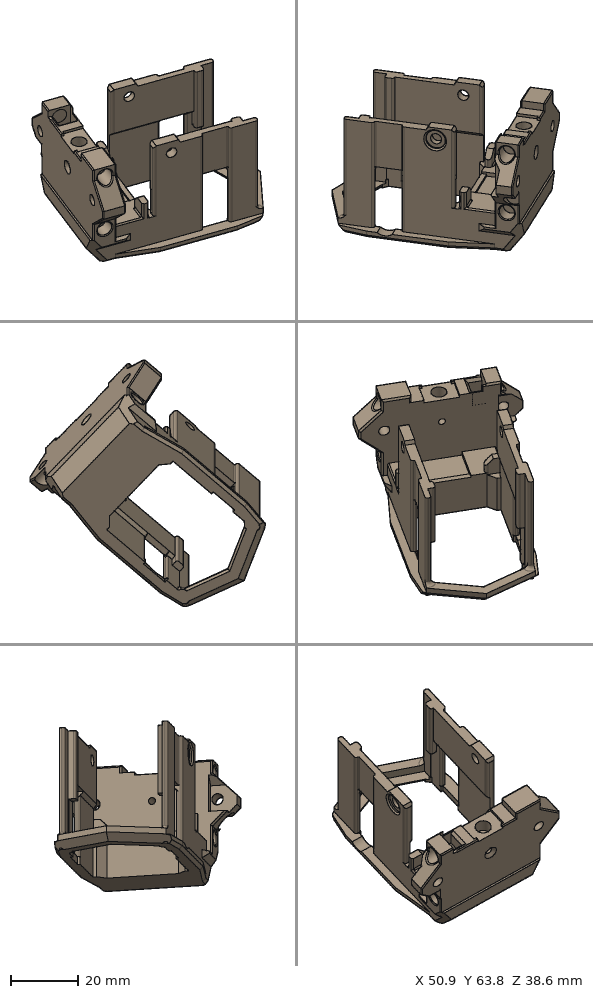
import cadquery as cq
length = 63.8
width = 50.85
height = 38.6
wall_x = 16.65
shoulder_x = 18.45

block_front = 0.65
block_back = 8.3
block_mid = (block_front + block_back) / 2
block_top = 37.5
block_bottom = 7.85
ear_x = width / 2
ear_top = 26.85
ear_bottom = 24.0
ear_reach = ear_x - shoulder_x
ear_root_top = 33.5
ear_root_bottom = 17.15
block_front_chamfer = 0.4
block_back_chamfer = 0.6
ledge_x = 9.3
ledge_z = 35.15
switch_pocket_x = (-13.65, -8.5)
switch_pocket_y = (1.5, 7.9)
switch_pocket_depth = 5.1
switch_pocket_bevel = 0.9
switch_wall_x = -12.05
saddle_x = 5.4
saddle_lip_x = 4.5
saddle_lip = 1.0
saddle_z = 34.25

screw_z = 25.9
screw_d = 2.1
screw_head_d = 4.2
ear_hole_x = (-19.4, 17.7)
ear_hole_d = 3.4
magnet_d = 4.7
magnet_rim = 0.3
magnet_depth = 4.45
side_magnet_z = (14.35, 34.15)
scoop_y = 2.2
scoop_z = 19.9

ear_notch_y = 5.7
ear_notch_x = 17.35
ear_notch_roof = 30.1
ear_notch_z = 21.6

nose_top = 11.0
nose_low = 6.05
nose_slope_y = 4.4
nose_half_width = 14.85
nose_side_normal = (1.0, -0.76, -0.55)
shelf_back = 19.7
shelf_z = 13.1
shelf_chamfer = 0.45
shoulder_back = 13.6
shoulder_top = 8.55
shoulder_back_run = 2.1
channel_x = (-6.1, 7.3)
channel_depth = 0.65
channel_low_depth = 1.3
channel_step_y = 18.05
web_x = 11.0
web_z = 12.45

tab_thick = 2.2
tab_end_radius = 0.95
tab_wall_chamfer = 0.6
tab_flat_x = 12.95
tab_end_x = 10.4
tab_top = 18.2
tab_foot = 0.45

arm_front = 21.2
arm_top = 37.5
arm_in_x = 13.5
lower_arm_in_x = 14.7
lower_arm_top = 22.35
arm_step_y = 51.25
column_in_x = 14.85
column_fillet = 0.75
arm_back = 55.5
arm_front_chamfer = 0.9
arm_front_round = 0.9
bump_in_x = 12.5
bump_y = (48.25, 51.25)
bump_bottom = 16.6
bump_fillet = 0.75
lug_back = 30.0
lug_slope = 1.5
recess_y = (37.5, 46.1)
recess_in_x = 15.5
recess_fillet = 0.75
recess_corner = 0.3
window_fillet = 0.65
window_foot_x = 15.45
arm_hole_y = 27.1
arm_hole_z = 34.45
arm_hole_d = 3.4
arm_bore_d = 6.0
arm_bore_depth = 1.0
arm_bore_chamfer = 0.5

flange_x = 19.2
flange_z = 2.35
flange_chamfer = 1.0
flange_front_y = 8.8
flange_taper_front_y = 22.3
flange_taper_back_y = 47.55
flange_back = (17.75, 56.35)
rail_end_y = 57.1
rail_z = 4.2
rail_floor_z = 1.2
rail_flare = 1.4
rail_slope = (length - rail_end_y) / wall_x
rail_step_y = 60.55
rail_in_y = 57.3
rail_in_end_x = 13.3
rail_bottom_chamfer = 2.35
rail_lip = 0.5
groove_y = 42.0
groove_radius = 3.95
groove_depth = 0.75

edge_margin = 0.05


def box(x_range, y_range, z_range):
    """Axis-aligned box from its limits on each axis."""
    sizes = [max(r) - min(r) for r in (x_range, y_range, z_range)]
    corner = cq.Vector(*[min(r) for r in (x_range, y_range, z_range)])
    return cq.Workplane(cq.Solid.makeBox(*sizes, corner))


def prism(points, z_range):
    """Vertical prism over a plan outline."""
    low, high = z_range
    return cq.Workplane("XY", origin=(0, 0, low)).polyline(points).close().extrude(high - low)


def cylinder(diameter, depth, start, direction):
    return cq.Workplane(cq.Solid.makeCylinder(diameter / 2, depth, cq.Vector(*start), cq.Vector(*direction)))


def cone(start_d, end_d, depth, start, direction):
    solid = cq.Solid.makeCone(start_d / 2, end_d / 2, depth, cq.Vector(*start), cq.Vector(*direction))
    return cq.Workplane(solid)


def both_sides(shape):
    """The shape together with its mirror image across the YZ plane."""
    return shape.union(shape.mirror("YZ"))


def trim(body, point, normal):
    """Remove what lies beyond the plane through the point, on the side of the normal."""
    beyond = cq.Workplane(cq.Plane(origin=point, normal=normal)).rect(4 * length, 4 * length).extrude(length)
    return body.cut(beyond)


def front_block():
    """Block with ears, its outline chamfered, and chamfered rims on the side magnet seats."""
    outline = [
        (-shoulder_x, block_bottom), (shoulder_x, block_bottom), (shoulder_x, ear_root_bottom),
        (ear_x, ear_bottom), (ear_x, ear_top), (shoulder_x, ear_root_top), (shoulder_x, block_top),
        (ledge_x, block_top), (ledge_x, ledge_z), (switch_wall_x, ledge_z),
        (switch_wall_x, block_top), (-shoulder_x, block_top), (-shoulder_x, ear_root_top),
        (-ear_x, ear_top), (-ear_x, ear_bottom), (-shoulder_x, ear_root_bottom),
    ]
    block = cq.Workplane("XZ", origin=(0, block_front, 0)).polyline(outline).close()
    block = block.extrude(block_front - block_back)
    block = block.faces("<Y").edges().chamfer(block_front_chamfer)
    for side in (-1, 1):
        side_edges = cq.selectors.BoxSelector(
            (side * ledge_x, block_back - edge_margin, 0),
            (side * length, block_back + edge_margin, height),
        )
        block = block.edges(side_edges).chamfer(block_back_chamfer)

    for z in side_magnet_z:
        block = block.cut(side_magnet_seat(z))
        reach = magnet_d / 2 + edge_margin
        for side in (-1, 1):
            rim = cq.selectors.BoxSelector(
                (side * (shoulder_x - edge_margin), block_mid - reach, z - reach),
                (side * ear_x, block_mid + reach, z + reach),
                boundingbox=True,
            )
            block = block.edges(rim).chamfer(magnet_rim)
    return block


def saddle():
    """Recess in the middle of the block top, narrower at the front lip."""
    seat = box((-saddle_x, saddle_x), (block_front + saddle_lip, block_back), (saddle_z, block_top))
    mouth = box((-saddle_lip_x, saddle_lip_x), (block_front, block_back), (saddle_z, block_top))
    return seat.union(mouth)


def switch_pocket():
    """Pocket in the block top, with bevelled +X and front rims, open towards the front at its -X end."""
    pocket = box(switch_pocket_x, switch_pocket_y, (ledge_z - switch_pocket_depth, block_top))
    bevel = switch_pocket_bevel
    pocket = trim(pocket, (switch_pocket_x[1] - bevel, 0, ledge_z - bevel), (1, 0, -1))
    pocket = trim(pocket, (0, switch_pocket_y[0] + bevel, ledge_z - bevel), (0, -1, -1))
    well_x = (switch_pocket_x[0], switch_pocket_x[1] - bevel)
    well_y = (switch_pocket_y[0] + bevel, switch_pocket_y[1])
    pocket = pocket.union(box(well_x, well_y, (ledge_z - switch_pocket_depth, ledge_z)))
    open_x = (switch_pocket_x[0], switch_wall_x)
    pocket = pocket.union(box(open_x, (block_front, switch_pocket_y[1]), (ledge_z, block_top)))
    return pocket


def side_magnet_seat(z):
    """Blind magnet seats in both sides of the block, open through the ear slopes."""
    seat = cylinder(magnet_d, ear_reach + magnet_depth, (shoulder_x - magnet_depth, block_mid, z), (1, 0, 0))
    return both_sides(seat)


def block_holes():
    screw = cylinder(screw_d, block_back, (0, 0, screw_z), (0, 1, 0))
    head_depth = (screw_head_d - screw_d) / 2
    holes = screw.union(cone(screw_head_d, screw_d, head_depth, (0, block_front, screw_z), (0, 1, 0)))
    top_start = (0, block_mid, saddle_z)
    holes = holes.union(cylinder(magnet_d, magnet_depth, top_start, (0, 0, -1)))
    for x in ear_hole_x:
        holes = holes.union(cylinder(ear_hole_d, block_back, (x, 0, screw_z), (0, 1, 0)))
    for z in side_magnet_z:
        holes = holes.union(side_magnet_seat(z))
    return holes


def ear_clearance():
    """Notch with a sloped roof behind the -X ear, and round scoop in its lower slope."""
    depth = block_back - ear_notch_y
    profile = [
        (ear_notch_y, ear_notch_z), (ear_notch_y, ear_notch_roof),
        (block_back, ear_notch_roof + depth), (block_back, ear_notch_z),
    ]
    notch = cq.Workplane("YZ", origin=(-ear_x, 0, 0)).polyline(profile).close()
    notch = notch.extrude(ear_x - ear_notch_x)
    scoop = cylinder(magnet_d, ear_reach, (-shoulder_x, scoop_y, scoop_z), (-1, 0, 0))
    return notch.union(scoop)


def foot():
    profile = [
        (0, nose_top), (0, nose_low), (nose_slope_y, 0), (shelf_back, 0), (shelf_back, shelf_z),
        (block_mid, shelf_z), (block_mid, nose_top),
    ]
    body = cq.Workplane("YZ", origin=(-wall_x, 0, 0)).polyline(profile).close().extrude(2 * wall_x)
    body = body.faces(">Z").edges("|Y").chamfer(shelf_chamfer)

    shoulder_z = (nose_low, shoulder_top)
    shoulder = box((-shoulder_x, shoulder_x), (0, shoulder_back), shoulder_z)
    upper = box((-shoulder_x, shoulder_x), (0, block_mid), (shoulder_top, nose_top))
    step = shoulder_x - wall_x
    for side in (-1, 1):
        body = trim(body, (side * (wall_x - flange_chamfer), 0, 0), (side, 0, -1))
        shoulder = trim(shoulder, (side * wall_x, 0, nose_low), (side, 0, -1))
        shoulder = trim(shoulder, (side * wall_x, shoulder_back, 0), (side, step / shoulder_back_run, 0))
    return body.union(shoulder).union(upper)


def shelf_channel():
    z_range = (shelf_z - channel_depth, shelf_z)
    channel = box(channel_x, (block_back, shelf_back), z_range)
    lower = box(channel_x, (block_back, channel_step_y), (shelf_z - channel_low_depth, shelf_z))
    return channel.union(lower)


def shelf_tab():
    """Tab on the +X end of the shelf, and the web that ties the shelf to the arm."""
    profile = [
        (wall_x, web_z), (wall_x, tab_top), (tab_flat_x, tab_top),
        (tab_end_x, tab_top - (tab_flat_x - tab_end_x)), (tab_end_x, web_z),
    ]
    tab = cq.Workplane("XZ", origin=(0, shelf_back, 0)).polyline(profile).close().extrude(tab_thick)
    tab = tab.edges("|Z and <X").fillet(tab_end_radius)
    tab = tab.edges("|Z and >X").chamfer(tab_wall_chamfer)

    tab_front = shelf_back - tab_thick
    bevel_x = (tab_end_x + tab_end_radius, wall_x)
    bevel = box(bevel_x, (tab_front - tab_foot, shelf_back), (web_z, shelf_z + tab_foot))
    bevel = trim(bevel, (0, tab_front, shelf_z + tab_foot), (0, -1, 1))
    bevel = trim(bevel, (wall_x - shelf_chamfer, 0, shelf_z), (1, 0, 1))
    tab = tab.union(bevel)

    web_back = arm_front + arm_front_round
    web = [(wall_x, shelf_back), (web_x, shelf_back), (arm_in_x, web_back), (wall_x, web_back)]
    return tab.union(prism(web, (0, web_z)))


def round_window_sides(body, x, top, radius):
    """Fillet the vertical arm edges beside the window that lie at the given X."""
    for y in recess_y:
        near = cq.selectors.BoxSelector(
            (x - edge_margin, y - edge_margin, 0), (x + edge_margin, y + edge_margin, top)
        )
        body = body.edges(near).edges("|Z").fillet(radius)
    return body


def arm():
    """The +X side arm, without the features that only the -X side has."""
    plan = [
        (wall_x, arm_front), (wall_x, arm_back), (column_in_x, arm_back),
        (column_in_x, arm_step_y), (arm_in_x, arm_step_y), (arm_in_x, arm_front),
    ]
    body = prism(plan, (0, arm_top))
    body = body.edges("|Z and >Y").fillet(column_fillet)

    lug = box((arm_in_x, wall_x), (arm_front, lug_back), (arm_top, height))
    body = body.union(trim(lug, (0, lug_back, arm_top), (0, lug_slope, 1)))
    body = body.edges("|Z and <Y").fillet(arm_front_round)
    body = trim(body, (0, arm_front, height - arm_front_chamfer), (0, -1, 1))

    step = lower_arm_in_x - arm_in_x
    relief = box((arm_in_x - step, lower_arm_in_x), (arm_front, arm_step_y), (0, lower_arm_top))
    body = body.cut(trim(relief, (lower_arm_in_x, 0, lower_arm_top - step), (1, 0, 1)))

    bump = box((bump_in_x, column_in_x), bump_y, (bump_bottom, arm_top))
    bump = bump.edges("|Z and <X").fillet(bump_fillet)
    body = body.union(bump)

    recess = box((recess_in_x, wall_x), recess_y, (flange_z, arm_top))
    recess = recess.edges("|Z and <X").fillet(recess_corner)
    window = box((bump_in_x, recess_in_x + recess_corner), recess_y, (0, lower_arm_top))
    body = body.cut(recess)
    body = round_window_sides(body, wall_x, arm_top, recess_fillet)
    body = body.cut(window)
    body = round_window_sides(body, lower_arm_in_x, lower_arm_top, window_fillet)
    return body.cut(cylinder(arm_hole_d, wall_x, (arm_in_x, arm_hole_y, arm_hole_z), (1, 0, 0)))


def arm_counterbore():
    """Chamfered counterbore on the outer face of the -X arm."""
    centre = (-wall_x, arm_hole_y, arm_hole_z)
    bore = cylinder(arm_bore_d, arm_bore_depth, centre, (1, 0, 0))
    mouth_d = arm_bore_d + 2 * arm_bore_chamfer
    return bore.union(cone(mouth_d, arm_bore_d, arm_bore_chamfer, centre, (1, 0, 0)))


def back_rail():
    """Half of the raised rail, with a concave flare up to the back column of the arm."""
    plan = [
        (0, length), (wall_x, rail_end_y), (wall_x, rail_step_y - rail_slope * wall_x), (0, rail_step_y),
    ]
    column_radius = (wall_x - column_in_x) / 2
    centre = (wall_x - column_radius, arm_back - column_radius, rail_z)
    outer = column_radius + rail_flare
    top = cq.Vector(*centre) + cq.Vector(0, 0, rail_flare)
    ring = cq.Workplane(cq.Solid.makeTorus(outer, rail_flare, top, cq.Vector(0, 0, 1)))
    flare = cylinder(2 * outer, rail_flare, centre, (0, 0, 1)).cut(ring)
    flare = flare.intersect(prism(plan, (0, height)))
    return prism(plan, (0, rail_z)).union(flare)


def base_flange():
    """Flat flange around the foot of the arms, closed by the raised V-shaped rail at the back."""
    half = [
        (wall_x, flange_front_y), (flange_x, flange_taper_front_y), (flange_x, flange_taper_back_y),
        flange_back, (wall_x, rail_end_y),
    ]
    mirrored = [(-x, y) for x, y in reversed(half)]
    plate = prism(half + [(0, length)] + mirrored, (0, flange_z))
    plate = plate.union(both_sides(back_rail()))

    for side in (-1, 1):
        taper = (flange_x - wall_x) / (flange_taper_front_y - flange_front_y)
        plate = trim(plate, (side * (flange_x - flange_chamfer), 0, 0), (side, 0, -1))
        plate = trim(plate, (side * (wall_x - flange_chamfer), flange_front_y, 0), (side, -taper, -1))
        lean = (flange_x - flange_back[0]) / (flange_back[1] - flange_taper_back_y)
        plate = trim(plate, (side * (flange_x - flange_chamfer), flange_taper_back_y, 0), (side, lean, -1))
        plate = trim(plate, (0, length - rail_bottom_chamfer, 0), (side * rail_slope, 1, -1))

    in_end_y = rail_in_y - rail_slope * rail_in_end_x
    corner_y = in_end_y - (lower_arm_in_x - rail_in_end_x)
    opening = [
        (-lower_arm_in_x, shelf_back), (lower_arm_in_x, shelf_back), (lower_arm_in_x, corner_y),
        (rail_in_end_x, in_end_y), (0, rail_in_y), (-rail_in_end_x, in_end_y), (-lower_arm_in_x, corner_y),
    ]
    plate = plate.cut(prism(opening, (0, height)))
    floor_end_y = rail_step_y - rail_slope * column_in_x
    floor = [(0, rail_step_y), (column_in_x, floor_end_y), (column_in_x, arm_step_y), (0, arm_step_y)]
    plate = plate.cut(both_sides(prism(floor, (rail_floor_z, rail_z + rail_flare))))
    for side in (-1, 1):
        rail_edge = (0, rail_in_y, rail_floor_z - rail_lip)
        end_x = side * rail_in_end_x
        under = [(0, rail_in_y), (end_x, in_end_y), (end_x, length), (0, length)]
        plate = plate.cut(trim(prism(under, (0, rail_z)), rail_edge, (side * rail_slope, 1, 1)))
        plate = plate.cut(box((0, side * window_foot_x), recess_y, (0, flange_z)))
    return plate


def flange_groove():
    """Round groove across the -X flange, below the window."""
    start = (-flange_x, groove_y, flange_z - groove_depth + groove_radius)
    return cylinder(2 * groove_radius, flange_x - window_foot_x, start, (1, 0, 0))


front = front_block().union(foot())
for side in (-1, 1):
    normal = (side * nose_side_normal[0], *nose_side_normal[1:])
    front = trim(front, (side * nose_half_width, 0, nose_low), normal)
for pocket in (saddle(), switch_pocket(), shelf_channel(), block_holes(), ear_clearance()):
    front = front.cut(pocket)

frame = base_flange().union(both_sides(arm())).cut(arm_counterbore()).cut(flange_groove())
result = front.union(both_sides(shelf_tab())).union(frame)